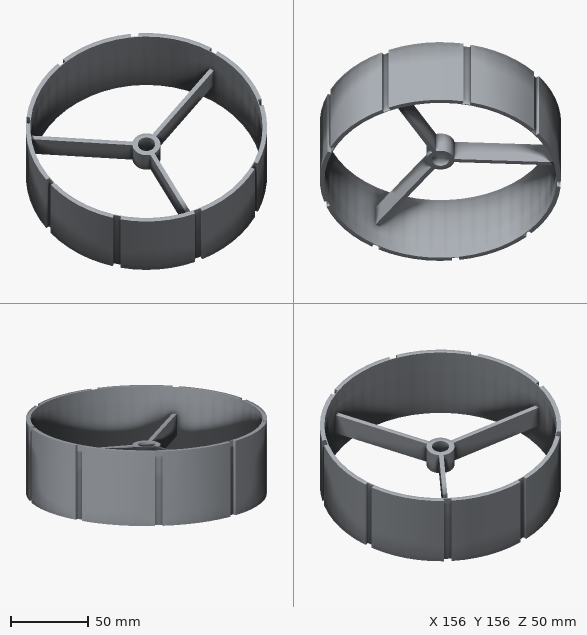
import cadquery as cq

rim_radius = 78.0
rim_wall = 3.0
rim_inner_radius = rim_radius - rim_wall
rim_height = 50.0

groove_count = 9
groove_width = 5.0
web_thickness = 0.5
groove_floor_radius = rim_inner_radius + web_thickness
groove_overcut = 1.5

hub_diameter = 18.1
bore_diameter = 11.0
hub_height = 15.0
spoke_count = 3
spoke_width = 3.0


def centred_cylinder(radius, height):
    return cq.Workplane("XY").circle(radius).extrude(height / 2, both=True)


def radial_bar(start_radius, end_radius, width, height, angle):
    """A straight bar along a radius, centred on Z = 0."""
    bar = cq.Workplane("XY").box(
        end_radius - start_radius, width, height, centered=(False, True, True)
    )
    return bar.translate((start_radius, 0, 0)).rotate((0, 0, 0), (0, 0, 1), angle)


def grooved_rim():
    rim = centred_cylinder(rim_radius, rim_height)
    rim = rim.cut(centred_cylinder(rim_inner_radius, rim_height))
    for index in range(groove_count):
        angle = index * 360 / groove_count
        groove_end = rim_radius + groove_overcut
        rim = rim.cut(
            radial_bar(groove_floor_radius, groove_end, groove_width, rim_height, angle)
        )
    return rim


def spoked_hub():
    hub = centred_cylinder(hub_diameter / 2, hub_height)
    for index in range(spoke_count):
        angle = index * 360 / spoke_count
        spoke_end = rim_inner_radius + web_thickness / 2
        hub = hub.union(radial_bar(0, spoke_end, spoke_width, hub_height, angle))
    return hub.cut(centred_cylinder(bore_diameter / 2, hub_height))


result = grooved_rim().union(spoked_hub())